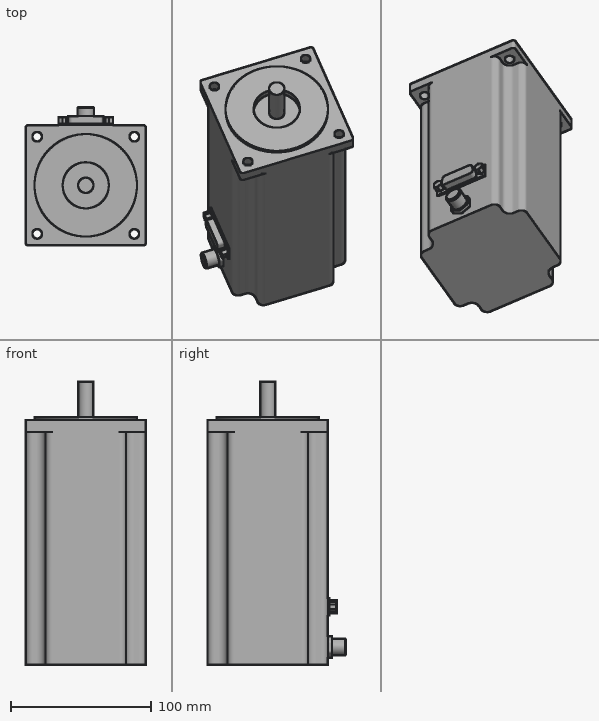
import cadquery as cq
import math

total_height = 202.0
shaft_length = 25.2
pilot_height = 2.0
flange_thickness = 8.7
pilot_top = total_height - shaft_length
flange_top = pilot_top - pilot_height
body_height = flange_top - flange_thickness

side = 85.8
half_side = side / 2
flange_corner_radius = 2.0
mount_hole_diameter = 6.7
mount_hole_spacing = 69.3

notch_size = 14.1
notch_inner_radius = 5.9
notch_lip_radius = 4.6

pilot_diameter = 73.0
recess_diameter = 33.0
recess_depth = 5.0
shaft_diameter = 11.0

d_connector_z = 41.4
plate_width = 39.2
plate_height = 12.5
plate_thickness = 1.0
plate_corner_radius = 1.0
shell_base_width = 26.5
shell_height = 9.5
shell_reach = 6.5
shell_side_angle = 10.0
shell_corner_radius = 2.6
screw_spacing = 33.3
screw_across_flats = 5.7
screw_reach = 5.7

round_connector_z = 12.7
round_connector_diameter = 12.0
round_connector_reach = 13.0
round_connector_chamfer = 0.8
nut_across_flats = 14.0
nut_thickness = 3.0
nut_corner_radius = 2.0


def rear_plane(x, z):
    """Workplane on the +Y face, facing outward, centred at (x, z), with local Y along +Z."""
    return cq.Workplane(cq.Plane(origin=(x, half_side, z), xDir=(-1, 0, 0), normal=(0, 1, 0)))


def hexagon(x, z, across_flats, height):
    """Hexagonal prism standing on the +Y face with one corner pointing up."""
    across_corners = across_flats / math.cos(math.radians(30))
    prism = rear_plane(x, z).transformed(rotate=(0, 0, 90))
    return prism.polygon(6, across_corners).extrude(height)


def make_body():
    notches = (
        cq.Workplane("XY")
        .rect(side, side, forConstruction=True).vertices()
        .rect(2 * notch_size, 2 * notch_size).extrude(body_height)
    )
    body = cq.Workplane("XY").rect(side, side).extrude(body_height).cut(notches)

    inner_reach = half_side - notch_size / 2
    inner_edges = cq.selectors.BoxSelector(
        (-inner_reach, -inner_reach, 0), (inner_reach, inner_reach, body_height)
    )
    body = body.edges("|Z").edges(inner_edges).fillet(notch_inner_radius)
    for face in (">X", "<X", ">Y", "<Y"):
        body = body.faces(face).edges("|Z").fillet(notch_lip_radius)
    return body


def make_flange():
    flange = cq.Workplane("XY").workplane(offset=body_height).rect(side, side).extrude(flange_thickness)
    flange = flange.edges("|Z").fillet(flange_corner_radius)
    return (
        flange.faces(">Z").workplane()
        .rect(mount_hole_spacing, mount_hole_spacing, forConstruction=True)
        .vertices().hole(mount_hole_diameter)
    )


def add_pilot_and_shaft(motor):
    pilot = cq.Workplane("XY").workplane(offset=flange_top).circle(pilot_diameter / 2).extrude(pilot_height)
    recess_floor = pilot_top - recess_depth
    recess = cq.Workplane("XY").workplane(offset=recess_floor).circle(recess_diameter / 2).extrude(recess_depth)
    shaft = (
        cq.Workplane("XY").workplane(offset=recess_floor)
        .circle(shaft_diameter / 2).extrude(total_height - recess_floor)
    )
    return motor.union(pilot).cut(recess).union(shaft)


def make_d_connector():
    plate = rear_plane(0, d_connector_z).rect(plate_width, plate_height).extrude(plate_thickness)
    plate = plate.edges("|Y").fillet(plate_corner_radius)

    half_base = shell_base_width / 2
    half_top = half_base - shell_height * math.tan(math.radians(shell_side_angle))
    half_height = shell_height / 2
    shell = (
        rear_plane(0, d_connector_z)
        .polyline([
            (-half_base, -half_height),
            (half_base, -half_height),
            (half_top, half_height),
            (-half_top, half_height),
        ])
        .close().extrude(shell_reach)
        .edges("|Y").fillet(shell_corner_radius)
    )

    connector = plate.union(shell)
    for x in (-screw_spacing / 2, screw_spacing / 2):
        connector = connector.union(hexagon(x, d_connector_z, screw_across_flats, screw_reach))
    return connector


def make_round_connector():
    nut = hexagon(0, round_connector_z, nut_across_flats, nut_thickness)
    nut = nut.edges("|Y").fillet(nut_corner_radius)
    barrel = (
        rear_plane(0, round_connector_z)
        .circle(round_connector_diameter / 2).extrude(round_connector_reach)
        .faces(">Y").chamfer(round_connector_chamfer)
    )
    return nut.union(barrel)


motor = make_body().union(make_flange())
motor = add_pilot_and_shaft(motor)
result = motor.union(make_d_connector()).union(make_round_connector())